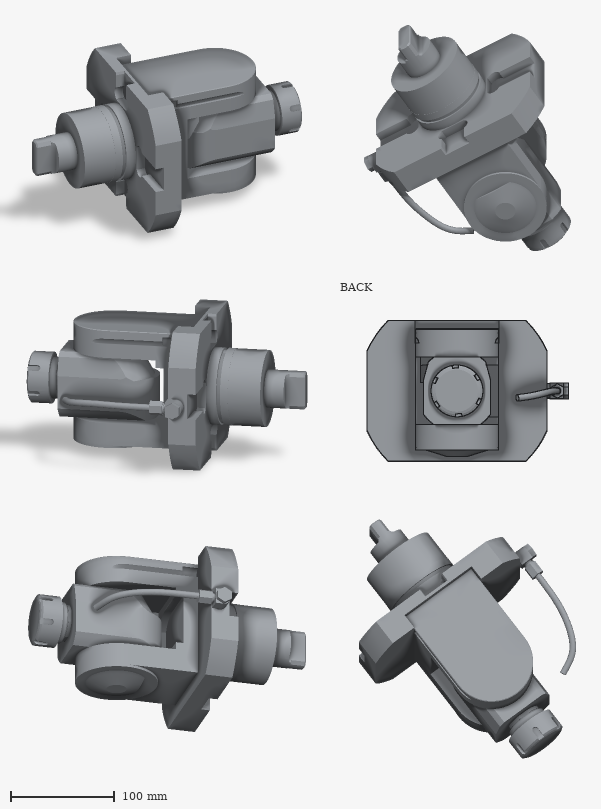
import cadquery as cq


flange_width = 174.0
flange_height = 136.0
flange_thickness = 27.0
flange_diameter = 190.0

key_half_width = 12.5
key_depth = 8.6
key_inner_offset = 38.7
key_relief_radius = 7.0
key_relief_offset = 9.6
key_flare = 1.0
key_flare_length = 2.5

shank_front_diameter = 74.9
shank_rear_diameter = 74.5
groove_diameter = 70.9
groove_start = 9.8
groove_end = 13.7
shank_step = 21.2
shank_length = 53.2

drive_diameter = 37.0
drive_shoulder = 72.4
drive_length = 90.8
tang_width = 14.0
tang_height = drive_diameter
tang_root_radius = 3.3
tang_bevel_width = 2.9
tang_bevel_height = 4.1
tang_tip_chamfer = 1.3

housing_width = 80.0
housing_radius = housing_width / 2
pivot_y = 97.4
cap_top = 60.0
cap_bottom = 46.3
cap_rear = 11.4
cap_chamfer = 0.7
notch_clearance = 0.5
housing_bottom = -54.5
pivot_disk_bottom = -57.0
fork_floor_y = 49.0
hub_base_radius = 30.0
hub_tip_radius = 9.8
hub_tip_z = -63.3
hub_flat_offset = 23.0

cove_radius = 6.0
cove_depth = 3.1
pocket_end_y = 42.7
pocket_top = 55.9
pocket_depth = 4.5
pocket_corner_radius = 4.0

recess_diameter = 50.0
recess_depth = 7.4
far_wall_x = 21.65
far_wall_y = 52.4
lobe_outer_x = 35.0
lobe_inner_tip = (57.0, 26.0)
lobe_outer_root_y = 56.7
lobe_outer_tip = (66.7, 24.6)

head_half = 32.5
head_half_width = 32.5
head_front_y = 147.3
head_turn_y = 86.0
head_corner_diameter = 78.8
head_bevel_start_z = 10.0
head_bevel_top_z = 27.3
head_bevel_inset = 4.7
cone_ledge_z = 8.0
cone_ledge_radius = 38.6
cone_top_radius = 25.6

wrench_diameter = 35.7
wrench_across_flats = 34.0
wrench_end_y = 150.4
neck_diameter = 34.4
collar_diameter = 40.0
collar_start_y = 151.6
collar_chamfer = 0.8
nut_diameter = 50.0
nut_start_y = 158.0
nut_end_y = 180.11
nut_bevel_length = 2.3
nut_mid_radius = 22.9
nut_mid_drop = 0.8
nut_face_radius = 20.4
nut_slot_count = 6
nut_slot_angle = 4.0
nut_slot_width = 5.9
nut_slot_depth = 3.0
nut_slot_end_y = 166.7

fitting_y = 19.2
fitting_tip_x = -107.7
fitting_hex_end_x = -102.6
fitting_body_end_x = -89.8
fitting_radius = 7.7
fitting_hex_corners = 15.7
fitting_collar_diameter = 14.5
pipe_x = -96.8
pipe_diameter = 6.37
nipple_diameter = 8.2
nipple_end_y = 28.8
ferrule_diameter = 10.6
ferrule_end_y = 30.2
pipe_nut_corners = 14.0
pipe_nut_end_y = 42.8
pipe_path = [
    (pipe_x, pipe_nut_end_y, 0),
    (-96.5, 60.0, 0),
    (-95.1, 79.5, 0),
    (-91.6, 96.0, -0.3),
    (-86.3, 111.0, -1.5),
    (-78.4, 122.8, -3.4),
    (-69.6, 129.0, -5.2),
    (-58.2, 134.3, -6.8),
]
pipe_root_direction = (0, 1, 0)
pipe_tip_direction = (2, 1, -0.3)


def box(x_range, y_range, z_range):
    """Box between the given limits on each axis."""
    limits = (x_range, y_range, z_range)
    sizes = [high - low for low, high in limits]
    corner = [low for low, high in limits]
    return cq.Workplane("XY").box(*sizes, centered=False).translate(tuple(corner))


def cylinder_y(diameter, y_start, y_end, x=0.0, z=0.0):
    """Cylinder along Y."""
    solid = cq.Workplane("XZ").circle(diameter / 2).extrude(y_start - y_end)
    return solid.translate((x, y_start, z))


def cylinder_x(diameter, x_start, x_end, y):
    """Cylinder along X at the height of the shank axis."""
    solid = cq.Workplane("YZ").circle(diameter / 2).extrude(x_end - x_start)
    return solid.translate((x_start, y, 0))


def arch(z_bottom, z_top, y_start):
    """Straight-sided plate with a half-round end about the pivot axis."""
    return (
        cq.Workplane("XY")
        .moveTo(-housing_radius, y_start)
        .lineTo(housing_radius, y_start)
        .lineTo(housing_radius, pivot_y)
        .threePointArc((0, pivot_y + housing_radius), (-housing_radius, pivot_y))
        .close()
        .extrude(z_top - z_bottom)
        .translate((0, 0, z_bottom))
    )


def key_slot(outer_offset, flared):
    """Key slot along +Z with rounded corner reliefs, open at the flange edge."""
    slot = box((-key_half_width, key_half_width), (0, key_depth), (key_inner_offset, outer_offset))
    relief_z = key_inner_offset + key_relief_radius
    slot = slot.union(
        box(
            (-key_relief_offset, key_relief_offset),
            (0, key_depth),
            (key_inner_offset, relief_z),
        )
    )
    for side in (-1, 1):
        relief = cylinder_y(2 * key_relief_radius, 0, key_depth, side * key_relief_offset, relief_z)
        slot = slot.union(relief)
    if flared:
        flare_outline = [
            (-key_half_width, outer_offset - key_flare_length),
            (-key_half_width - key_flare, outer_offset),
            (key_half_width + key_flare, outer_offset),
            (key_half_width, outer_offset - key_flare_length),
        ]
        slot = slot.union(cq.Workplane("XZ").polyline(flare_outline).close().extrude(-key_depth))
    return slot


def make_flange():
    half_width = flange_width / 2
    half_height = flange_height / 2
    flange = box(
        (-half_width, half_width), (0, flange_thickness), (-half_height, half_height)
    ).intersect(cylinder_y(flange_diameter, 0, flange_thickness))
    for angle in (0, 90, 180, 270):
        vertical = angle in (0, 180)
        edge = half_height if vertical else half_width
        slot = key_slot(edge, vertical)
        flange = flange.cut(slot.rotate((0, 0, 0), (0, 1, 0), angle))
    notch_half = housing_radius + notch_clearance
    notch = box((-notch_half, notch_half), (cap_rear, flange_thickness), (cap_bottom, half_height))
    return flange.cut(notch)


def make_shank():
    shank = cylinder_y(shank_front_diameter, -shank_step, 0)
    shank = shank.union(cylinder_y(shank_rear_diameter, -shank_length, -shank_step))
    ring = cylinder_y(shank_front_diameter, -groove_end, -groove_start)
    ring = ring.cut(cylinder_y(groove_diameter, -groove_end, -groove_start))
    return shank.cut(ring)


def make_drive():
    """Drive shaft whose end is milled to a flat tang."""
    drive = cylinder_y(drive_diameter, -drive_shoulder - tang_root_radius, -shank_length)
    half_width = tang_width / 2
    half_height = tang_height / 2
    corner = [
        (half_width, half_height - tang_bevel_height),
        (half_width - tang_bevel_width, half_height),
    ]
    section = corner + [(-x, z) for x, z in reversed(corner)]
    section += [(-x, -z) for x, z in section]
    tang = (
        cq.Workplane("XZ")
        .polyline(section)
        .close()
        .extrude(drive_length - shank_length)
        .translate((0, -shank_length, 0))
        .faces("<Y")
        .chamfer(tang_tip_chamfer)
    )
    tang = tang.intersect(cylinder_y(drive_diameter, -drive_length, -shank_length))
    drive = drive.union(tang)
    relief = box(
        (half_width, drive_diameter),
        (-drive_length - drive_diameter, -drive_shoulder),
        (-drive_diameter, drive_diameter),
    )
    relief = relief.edges("<X and >Y").fillet(tang_root_radius)
    return drive.cut(relief).cut(relief.mirror("YZ"))


def make_side_relief():
    """Cove under the cap edge on the -X side, with a deeper pocket at the flange."""
    cove_x = cove_depth - cove_radius - housing_radius
    cove = cylinder_y(2 * cove_radius, pocket_end_y, pivot_y + housing_radius, cove_x, cap_bottom)
    pocket = box(
        (-housing_radius - pocket_depth, -housing_radius + pocket_depth),
        (flange_thickness, pocket_end_y),
        (cap_bottom, pocket_top),
    )
    pocket = pocket.edges(">X and >Z").fillet(pocket_corner_radius)
    above_joint = box(
        (-housing_width, 0),
        (flange_thickness, pivot_y + housing_radius),
        (cap_bottom, cap_top),
    )
    return cove.union(pocket).intersect(above_joint)


def make_cap():
    cap = arch(cap_bottom, cap_top, cap_rear)
    cap = cap.faces(">Z").chamfer(cap_chamfer)
    relief = make_side_relief()
    return cap.cut(relief).cut(relief.mirror("YZ"))


def make_pivot_hub():
    """Disk and flat-sided conical hub below the lower fork arm."""
    disk = (
        cq.Workplane("XY")
        .circle(housing_radius)
        .extrude(housing_bottom - pivot_disk_bottom)
        .translate((0, pivot_y, pivot_disk_bottom))
    )
    hub = (
        cq.Workplane("XZ")
        .polyline(
            [
                (0, pivot_disk_bottom),
                (hub_base_radius, pivot_disk_bottom),
                (hub_tip_radius, hub_tip_z),
                (0, hub_tip_z),
            ]
        )
        .close()
        .revolve(360, (0, 0, 0), (0, 1, 0))
        .translate((0, pivot_y, 0))
    )
    flat = box(
        (-hub_base_radius, hub_base_radius),
        (pivot_y - hub_base_radius, pivot_y - hub_flat_offset),
        (hub_tip_z, pivot_disk_bottom),
    )
    return disk.union(hub.cut(flat))


def lobe_outline(root_y, tip):
    """Side outline (Y, Z) of the far wall's upper lobe, slanted from its root to its tip."""
    tip_y, tip_z = tip
    return [
        (fork_floor_y, cone_ledge_z),
        (root_y, cone_ledge_z),
        (tip_y, tip_z),
        (tip_y, head_half),
        (fork_floor_y, head_half),
    ]


def make_far_wall():
    """Wall on the +X side of the fork floor, with an upper lobe leaning round the head."""
    wall = box(
        (far_wall_x, housing_radius), (fork_floor_y, far_wall_y), (-head_half, head_half)
    )
    inner_outline = lobe_outline(far_wall_y, lobe_inner_tip)
    outer_outline = lobe_outline(lobe_outer_root_y, lobe_outer_tip)
    lobe = (
        cq.Workplane("YZ", origin=(far_wall_x, 0, 0))
        .polyline(inner_outline)
        .close()
        .workplane(offset=lobe_outer_x - far_wall_x)
        .polyline(outer_outline)
        .close()
        .loft(ruled=True)
    )
    return wall.union(lobe)


def make_housing():
    """Fork with a cap, open between its arms where the head swivels."""
    housing = arch(housing_bottom, cap_bottom, flange_thickness)
    opening = box(
        (-housing_radius, housing_radius),
        (fork_floor_y, pivot_y + housing_radius),
        (-head_half, head_half),
    )
    housing = housing.cut(opening)
    recess_y = fork_floor_y - recess_depth
    recess_radius = recess_diameter / 2
    recess = cylinder_y(recess_diameter, recess_y, fork_floor_y)
    recess = recess.union(
        box((-housing_radius, 0), (recess_y, fork_floor_y), (-recess_radius, recess_radius))
    )
    reach = box(
        (-housing_radius, far_wall_x), (recess_y, fork_floor_y), (-recess_radius, recess_radius)
    )
    housing = housing.cut(recess.intersect(reach))
    return housing.union(make_cap()).union(make_pivot_hub()).union(make_far_wall())


def make_head():
    """Spindle head: square bar with round corners, upper bevels and a rounded, coned rear."""
    bevel_top_x = head_half_width - head_bevel_inset
    bevel_slope = head_bevel_inset / (head_bevel_top_z - head_bevel_start_z)
    top_x = bevel_top_x - bevel_slope * (head_half - head_bevel_top_z)
    section = [
        (-head_half_width, -head_half),
        (head_half_width, -head_half),
        (head_half_width, head_bevel_start_z),
        (top_x, head_half),
        (-top_x, head_half),
        (-head_half_width, head_bevel_start_z),
    ]
    rear_y = head_turn_y - head_half_width
    bar = cq.Workplane("XZ").polyline(section).close().extrude(rear_y - head_front_y)
    bar = bar.translate((0, rear_y, 0))
    rounding = cylinder_y(head_corner_diameter, rear_y, head_front_y)
    plan = (
        cq.Workplane("XY")
        .moveTo(-head_half_width, head_front_y)
        .lineTo(-head_half_width, head_turn_y)
        .threePointArc((0, rear_y), (head_half_width, head_turn_y))
        .lineTo(head_half_width, head_front_y)
        .close()
        .extrude(2 * head_half)
        .translate((0, 0, -head_half))
    )
    body = plan.intersect(rounding).intersect(bar)
    rear_zone = box(
        (-head_half_width, head_half_width), (rear_y, pivot_y), (cone_ledge_z, head_half)
    )
    cone = (
        cq.Workplane("XZ")
        .polyline(
            [
                (0, cone_ledge_z),
                (cone_ledge_radius, cone_ledge_z),
                (cone_top_radius, head_half),
                (0, head_half),
            ]
        )
        .close()
        .revolve(360, (0, 0, 0), (0, 1, 0))
        .translate((0, pivot_y, 0))
    )
    return body.cut(rear_zone.cut(cone))


def make_nut_slot():
    """Radial wrench slot at +Z with a rounded inner end."""
    radius = nut_diameter / 2
    half = nut_slot_width / 2
    end_centre = nut_slot_end_y + half
    slot = box((-half, half), (end_centre, nut_end_y), (radius - nut_slot_depth, nut_diameter))
    end = cq.Workplane("XY").circle(half).extrude(nut_diameter)
    return slot.union(end.translate((0, end_centre, radius - nut_slot_depth)))


def make_collet_nut():
    flats = box(
        (-wrench_across_flats / 2, wrench_across_flats / 2),
        (head_front_y, collar_start_y),
        (-wrench_across_flats / 2, wrench_across_flats / 2),
    )
    neck = cylinder_y(wrench_diameter, head_front_y, wrench_end_y)
    neck = neck.union(cylinder_y(neck_diameter, wrench_end_y, collar_start_y)).intersect(flats).clean()
    collar = cylinder_y(collar_diameter, collar_start_y, nut_start_y)
    collar = collar.faces("<Y").chamfer(collar_chamfer)
    nut_radius = nut_diameter / 2
    nut = (
        cq.Workplane("XY")
        .moveTo(0, nut_start_y)
        .lineTo(nut_radius, nut_start_y)
        .lineTo(nut_radius, nut_end_y - nut_bevel_length)
        .lineTo(nut_mid_radius, nut_end_y - nut_mid_drop)
        .lineTo(nut_face_radius, nut_end_y)
        .lineTo(0, nut_end_y)
        .close()
        .revolve(360, (0, 0, 0), (0, 1, 0))
    )
    slot = make_nut_slot()
    for index in range(nut_slot_count):
        angle = nut_slot_angle + index * 360 / nut_slot_count
        nut = nut.cut(slot.rotate((0, 0, 0), (0, 1, 0), angle))
    return neck.union(collar).union(nut)


def make_fitting():
    """Elbow fitting on the -X edge of the flange."""
    head = (
        cq.Workplane("YZ")
        .polygon(6, fitting_hex_corners)
        .extrude(fitting_hex_end_x - fitting_tip_x)
        .rotate((0, 0, 0), (1, 0, 0), 90)
        .translate((fitting_tip_x, fitting_y, 0))
    )
    body = cylinder_x(2 * fitting_radius, fitting_hex_end_x, fitting_body_end_x, fitting_y)
    body = body.union(
        box(
            (fitting_hex_end_x, fitting_body_end_x),
            (fitting_y, fitting_y + fitting_radius),
            (-fitting_radius, fitting_radius),
        )
    )
    collar = cylinder_x(fitting_collar_diameter, fitting_body_end_x, -flange_width / 2, fitting_y)
    return head.union(body).union(collar)


def make_pipe():
    """Bent coolant pipe with its nipple, ferrule and hexagon nut."""
    nipple = cylinder_y(nipple_diameter, fitting_y, nipple_end_y, pipe_x)
    ferrule = cylinder_y(ferrule_diameter, nipple_end_y, ferrule_end_y, pipe_x)
    nut = (
        cq.Workplane("XZ")
        .polygon(6, pipe_nut_corners)
        .extrude(ferrule_end_y - pipe_nut_end_y)
        .rotate((0, 0, 0), (0, 1, 0), 90)
        .translate((pipe_x, ferrule_end_y, 0))
    )
    path = cq.Workplane("XY").spline(pipe_path, tangents=[pipe_root_direction, pipe_tip_direction])
    pipe = (
        cq.Workplane("XZ", origin=pipe_path[0])
        .circle(pipe_diameter / 2)
        .sweep(path)
    )
    return nipple.union(ferrule).union(nut).union(pipe)


result = make_flange()
for component in (
    make_shank(),
    make_drive(),
    make_housing(),
    make_head(),
    make_collet_nut(),
    make_fitting(),
    make_pipe(),
):
    result = result.union(component)